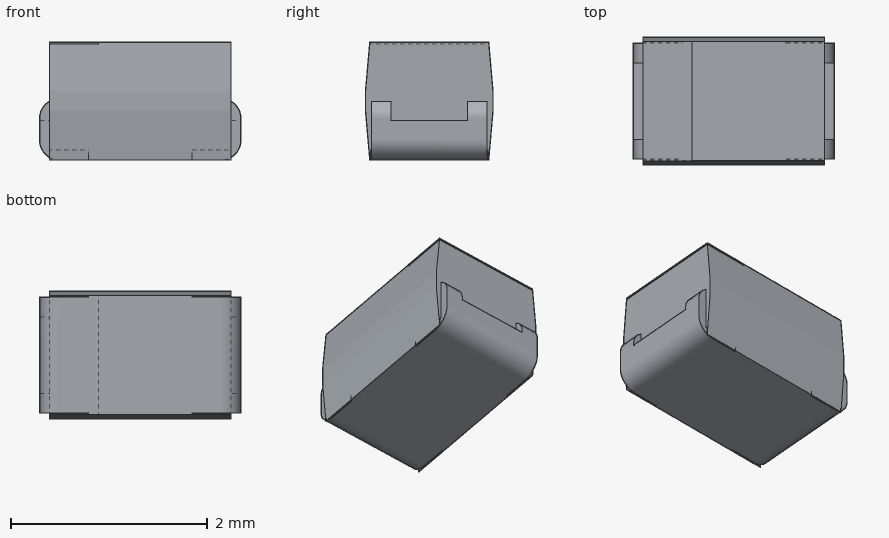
import cadquery as cq
import math

housing_length = 1.85
housing_width = 1.3
housing_height = 1.2
belt_bottom = 0.5
belt_top = 0.7
draft_angle = 5.0

overall_length = 2.05
terminal_width = 1.18
terminal_height = 0.625
terminal_radius = 0.2
notch_width = 0.78
notch_floor = 0.4

recess_length = 0.4
recess_width = 1.2
recess_height = 0.1

band_length = 0.5
band_thickness = 0.02


def half_width_above_belt(height):
    """Half width of the drafted housing side at a height above the belt."""
    return housing_width / 2 - (height - belt_top) * math.tan(math.radians(draft_angle))


def make_moulding():
    half_belt = housing_width / 2
    half_top = half_width_above_belt(housing_height)
    half_bottom = half_belt - belt_bottom * math.tan(math.radians(draft_angle))
    section = [
        (-half_bottom, 0),
        (half_bottom, 0),
        (half_belt, belt_bottom),
        (half_belt, belt_top),
        (half_top, housing_height),
        (-half_top, housing_height),
        (-half_belt, belt_top),
        (-half_belt, belt_bottom),
    ]
    return cq.Workplane("YZ").polyline(section).close().extrude(housing_length / 2, both=True)


def make_foot_recess(side):
    """Shallow pocket under one end of the moulding, open to its end face."""
    return (
        cq.Workplane("XY")
        .center(side * (housing_length - recess_length) / 2, 0)
        .box(recess_length, recess_width, recess_height, centered=(True, True, False))
    )


def make_terminal(side):
    """Terminal at one end: rounded outer edges, a notch in the top, its foot in the recess."""
    depth = overall_length / 2 - (housing_length / 2 - recess_length)
    block = (
        cq.Workplane("XY")
        .center(side * (overall_length - depth) / 2, 0)
        .box(depth, terminal_width, terminal_height, centered=(True, True, False))
    )
    outer_face = ">X" if side > 0 else "<X"
    rounded = block.faces(outer_face).edges("|Y").fillet(terminal_radius)
    notch = (
        cq.Workplane("XY")
        .workplane(offset=notch_floor)
        .box(overall_length, notch_width, terminal_height - notch_floor, centered=(True, True, False))
    )
    return rounded.cut(notch)


def make_band():
    band_bottom = housing_height - band_thickness
    band_width = 2 * half_width_above_belt(band_bottom)
    return (
        cq.Workplane("XY")
        .workplane(offset=band_bottom)
        .center(-housing_length / 2, 0)
        .box(band_length, band_width, band_thickness, centered=(False, True, False))
    )


band = make_band()
housing = make_moulding().cut(band)
for side in (-1, 1):
    housing = housing.cut(make_foot_recess(side)).union(make_terminal(side))

result = cq.Compound.makeCompound([housing.val(), band.val()])